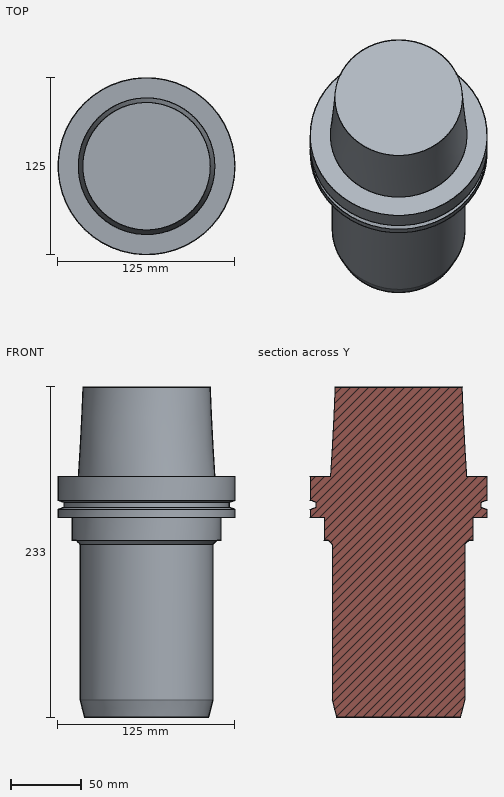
import cadquery as cq

total_height = 233.0

flange_radius = 125.0 / 2
groove_radius = 117.0 / 2
collar_radius = 105.0 / 2
body_radius = 94.0 / 2
neck_top_radius = 45.0
neck_middle_radius = 46.4
neck_base_radius = 48.2
relief_radius = 49.9
tip_radius = 43.8

tip_height = 12.3
body_height = 109.7
relief_height = 2.8
collar_height = 16.0
lower_rim_height = 5.8
groove_side_height = 1.5
groove_floor_height = 3.5
neck_height = 63.0

body_top = tip_height + body_height
collar_bottom = body_top + relief_height
flange_bottom = collar_bottom + collar_height
groove_bottom = flange_bottom + lower_rim_height
floor_bottom = groove_bottom + groove_side_height
floor_top = floor_bottom + groove_floor_height
groove_top = floor_top + groove_side_height
flange_top = total_height - neck_height
neck_middle = (flange_top + total_height) / 2

profile = (
    cq.Workplane("XZ")
    .moveTo(0, 0)
    .lineTo(tip_radius, 0)
    .lineTo(body_radius, tip_height)
    .lineTo(body_radius, body_top)
    .lineTo(relief_radius, collar_bottom)
    .lineTo(collar_radius, collar_bottom)
    .lineTo(collar_radius, flange_bottom)
    .lineTo(flange_radius, flange_bottom)
    .lineTo(flange_radius, groove_bottom)
    .lineTo(groove_radius, floor_bottom)
    .lineTo(groove_radius, floor_top)
    .lineTo(flange_radius, groove_top)
    .lineTo(flange_radius, flange_top)
    .lineTo(neck_base_radius, flange_top)
    .threePointArc((neck_middle_radius, neck_middle), (neck_top_radius, total_height))
    .lineTo(0, total_height)
    .close()
)

result = profile.revolve(360, (0, 0, 0), (0, 1, 0))